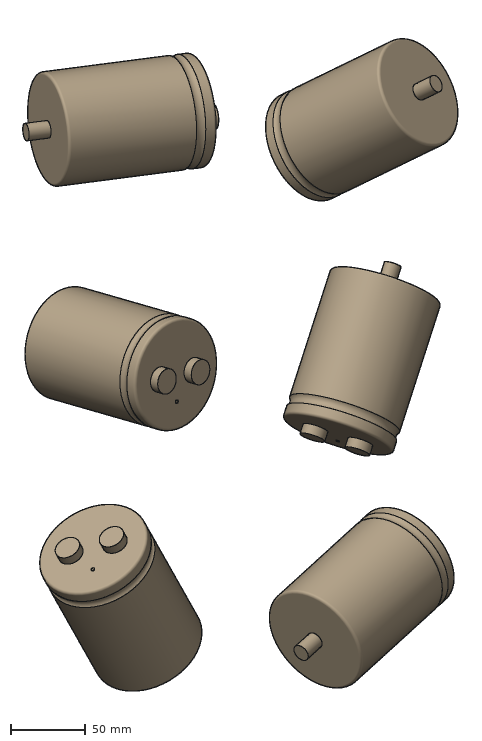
import cadquery as cq

overall_length = 129.9
can_radius = 39.0
stud_length = 15.8
stud_diameter = 12.0
terminal_length = 6.9
terminal_diameter = 17.5
terminal_spacing = 31.7
can_length = overall_length - stud_length - terminal_length
rim_radius = 2.0

groove_offset = 8.2
groove_width = 6.6
groove_depth = 1.3

vent_diameter = 2.5
vent_height = 0.4
vent_drop = 18.8


def make_can():
    """Revolved can with rounded rims and a concave groove."""
    groove_top = can_length - groove_offset
    groove_bottom = groove_top - groove_width
    groove_middle = (groove_top + groove_bottom) / 2
    profile = (
        cq.Workplane("XY")
        .lineTo(can_radius, 0)
        .lineTo(can_radius, groove_bottom)
        .threePointArc((can_radius - groove_depth, groove_middle), (can_radius, groove_top))
        .lineTo(can_radius, can_length)
        .lineTo(0, can_length)
        .close()
    )
    can = profile.revolve(360, (0, 0, 0), (0, 1, 0))
    return can.faces("<Y or >Y").edges().fillet(rim_radius)


def make_post(diameter, y_start, y_end, x=0, z=0):
    """Round post along Y between two stations."""
    post = cq.Solid.makeCylinder(
        diameter / 2, y_end - y_start, cq.Vector(x, y_start, z), cq.Vector(0, 1, 0)
    )
    return cq.Workplane(post)


result = make_can()
result = result.union(make_post(stud_diameter, -stud_length, can_length / 2))
for side in (-1, 1):
    terminal = make_post(
        terminal_diameter, can_length / 2, can_length + terminal_length, x=side * terminal_spacing / 2
    )
    result = result.union(terminal)
result = result.union(make_post(vent_diameter, can_length / 2, can_length + vent_height, z=-vent_drop))